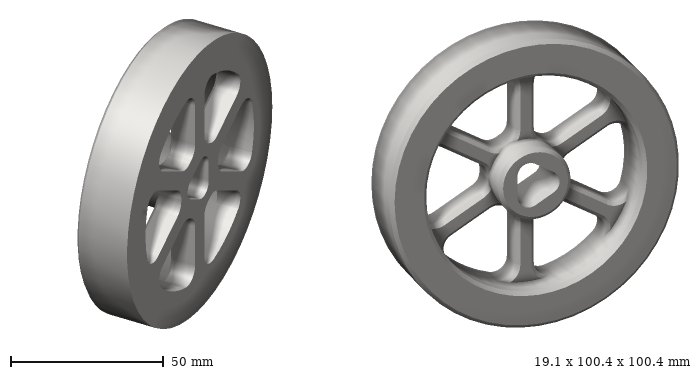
import cadquery as cq
import math

wheel_radius = 50.2
wheel_width = 19.1
bore_radius = 37.4
hub_radius = 12.5
edge_chamfer = 1.3

spoke_count = 6
spoke_width = 6.4
web_front = wheel_width / 2
window_inner_radius = 12.7
window_fillet = 5.0

shaft_corner_radius = 4.1
shaft_corner_offset = 4.2

web_depth = wheel_width - web_front
plate_radius = (bore_radius + wheel_radius) / 2


def cylinder(radius, start, length):
    """Solid cylinder along X."""
    return cq.Workplane("YZ", origin=(start, 0, 0)).circle(radius).extrude(length)


def ring(inner_radius, outer_radius, start, length):
    """Solid ring along X."""
    return cylinder(outer_radius, start, length).cut(cylinder(inner_radius, start, length))


def make_blank():
    """Wheel disc recessed between hub and rim, with every front edge chamfered."""
    disc = cylinder(wheel_radius, 0, wheel_width)
    recess = ring(hub_radius, bore_radius, 0, web_front)
    return disc.cut(recess).faces("<X").edges().chamfer(edge_chamfer)


def make_windows():
    """Openings between the spokes, with rounded corners."""
    windows = ring(window_inner_radius, bore_radius, web_front, web_depth)
    bar = cq.Workplane("YZ", origin=(web_front, 0, 0)).rect(spoke_width, 2 * wheel_radius).extrude(web_depth)
    for index in range(spoke_count // 2):
        windows = windows.cut(bar.rotate((0, 0, 0), (1, 0, 0), index * 360 / spoke_count))
    return windows.edges("|X").fillet(window_fillet)


def make_bevelled_windows():
    """Windows flared at the front, with the flare kept clear of the hub and the rim."""
    plate = cylinder(plate_radius, web_front, web_depth).cut(make_windows())
    bevelled_plate = plate.faces("<X").edges().chamfer(edge_chamfer)
    return ring(hub_radius, bore_radius, web_front, web_depth).cut(bevelled_plate)


def make_shaft_hole():
    """Rounded triangle through the hub, flat side towards +Y and one corner towards -Y."""
    side = shaft_corner_offset * math.sqrt(3)
    corner_y = shaft_corner_offset / 2
    core = cq.Workplane("YZ").polyline(
        [(corner_y, side / 2), (corner_y, -side / 2), (-shaft_corner_offset, 0)]
    ).close()
    return core.offset2D(shaft_corner_radius, "arc").extrude(wheel_width)


result = make_blank().cut(make_bevelled_windows()).cut(make_shaft_hole())